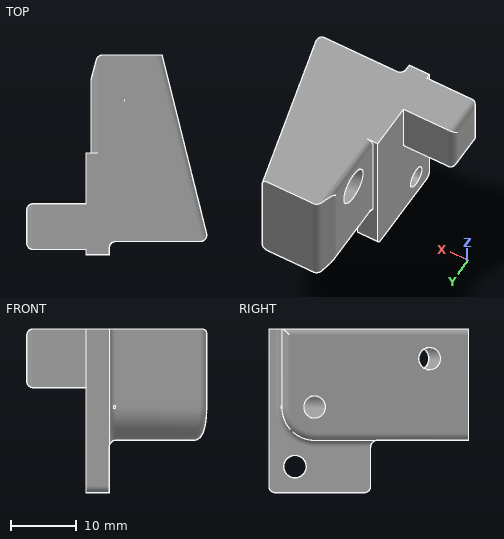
import cadquery as cq
import math

edge_radius = 1.0

plate_thickness = 3.6
plate_width = 15.55
plate_height = 25.0

total_depth = 30.47
body_left = 0.8
body_front = 2.0
body_height = 17.0
body_back_right = 11.65
taper_angle = 14.0
front_bottom_radius = 5.0
lead_in_length = 3.72
lead_in_angle = 15.0

tab_length = 9.02
tab_front = 0.8
tab_width = 7.0
tab_height = 9.0

hole_diameter = 3.38
straight_hole_y = 4.0
straight_hole_z = -21.0
plate_slant_hole_y = 2.62
plate_slant_hole_z = -11.9
counterbored_hole_y = 21.45
counterbored_hole_z = -4.55
counterbore_diameter = 5.6
counterbore_depth = 5.45
through_length = total_depth

taper_slope = math.tan(math.radians(taper_angle))
body_front_right = body_back_right + (total_depth - body_front) * taper_slope
taper_normal = cq.Vector(math.cos(math.radians(taper_angle)), math.sin(math.radians(taper_angle)), 0)
tolerance = 0.015


def block(x, y, z_top, length, width, height):
    """Box given by its front left corner, top level and sizes."""
    return cq.Workplane("XY").box(length, width, height, centered=False).translate((x, y, z_top - height))


def near(value, target):
    return abs(value - target) < tolerance


def make_body():
    outline = [
        (body_left, body_front),
        (body_front_right, body_front),
        (body_back_right, total_depth),
        (body_left, total_depth),
    ]
    body = cq.Workplane("XY").polyline(outline).close().extrude(-body_height)
    body = body.faces("<Y").edges("<Z").fillet(front_bottom_radius)

    tapered_face = body.faces(cq.selectors.DirectionMinMaxSelector(taper_normal, True))
    body = tapered_face.edges("not(>Y)").fillet(edge_radius)
    return body


def cut_lead_in(body):
    lead_in_inset = lead_in_length * math.tan(math.radians(lead_in_angle))
    lead_in = (
        cq.Workplane("XY")
        .moveTo(body_left, total_depth - lead_in_length)
        .lineTo(body_left + lead_in_inset, total_depth)
        .lineTo(body_left, total_depth)
        .close()
        .extrude(-body_height)
    )
    body = body.cut(lead_in)
    return body.faces(">Y").edges("|Z").edges("<X").fillet(edge_radius)


def make_plate():
    plate = block(0, 0, 0, plate_thickness, plate_width, plate_height)
    return plate.faces("<Z").edges("|X").fillet(edge_radius)


def make_tab():
    tab = block(-tab_length, tab_front, 0, tab_length, tab_width, tab_height)
    return tab.faces("<X").edges().fillet(edge_radius)


def is_plate_joint(edge):
    """True for the inside corners where the plate meets the body."""
    box = edge.BoundingBox()
    on_inner_face = near(box.xmin, plate_thickness) and near(box.xmax, plate_thickness)
    along_body = on_inner_face and box.ymin > body_front - tolerance and box.zmin > -body_height - tolerance
    under_body = near(box.ymin, plate_width) and near(box.ymax, plate_width)
    under_body = under_body and near(box.zmin, -body_height) and near(box.zmax, -body_height)
    return along_body or under_body


def left_edge_waste(plane, corner_x, corner_v, side):
    """Sketch of the waste outside a rounded edge; side is +1 if the waste is above the edge, -1 if below."""
    mid_offset = edge_radius * (1 - math.sqrt(0.5))
    return (
        cq.Workplane(plane)
        .moveTo(corner_x, corner_v)
        .lineTo(corner_x + edge_radius, corner_v)
        .threePointArc(
            (corner_x + mid_offset, corner_v - side * mid_offset),
            (corner_x, corner_v - side * edge_radius),
        )
        .close()
    )


def round_left_edges(part):
    """Round the body's left face along its top and bottom, following the joint down the plate."""
    joint_center_y = plate_width + edge_radius
    joint_center_z = -body_height - edge_radius
    run_length = total_depth - joint_center_y

    top = left_edge_waste(cq.Plane.XZ(), body_left, 0, 1).extrude(-total_depth)
    start = cq.Plane((0, joint_center_y, 0), xDir=(1, 0, 0), normal=(0, -1, 0))
    bottom = left_edge_waste(start, body_left, -body_height, -1).extrude(-run_length)
    bend = left_edge_waste(start, body_left, -body_height, -1).revolve(
        90, (0, joint_center_z, 0), (1, joint_center_z, 0)
    )
    behind_plate = block(0, plate_width, 0, plate_thickness, total_depth, plate_height)
    for waste in (top, bottom, bend):
        part = part.cut(waste.intersect(behind_plate))
    return part


def slanted_cylinder(x, y, z, diameter, length):
    """Cylinder square to the tapered face, its axis passing through the given point.

    It starts one radius ahead of that point so that its slanted end clears the entry face.
    """
    start = cq.Vector(x, y, z) - taper_normal * (diameter / 2)
    return cq.Workplane(cq.Solid.makeCylinder(diameter / 2, length + diameter / 2, start, taper_normal))


part = make_body().union(make_plate())
joint_edges = [edge for edge in part.edges().vals() if is_plate_joint(edge)]
part = part.newObject(joint_edges).fillet(edge_radius)
part = round_left_edges(part)
part = cut_lead_in(part)
part = part.union(make_tab())

straight_hole = (
    cq.Workplane("YZ")
    .center(straight_hole_y, straight_hole_z)
    .circle(hole_diameter / 2)
    .extrude(plate_thickness)
)
part = part.cut(straight_hole)

part = part.cut(
    slanted_cylinder(0, plate_slant_hole_y, plate_slant_hole_z, hole_diameter, through_length)
)
for diameter, length in (
    (hole_diameter, through_length),
    (counterbore_diameter, counterbore_depth),
):
    part = part.cut(
        slanted_cylinder(body_left, counterbored_hole_y, counterbored_hole_z, diameter, length)
    )

result = part